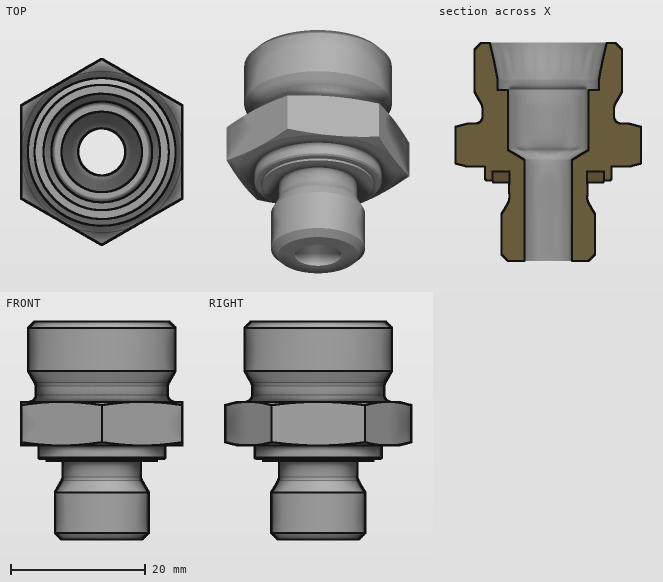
import cadquery as cq
import math

TOTAL_HEIGHT = 32.5
SELECTION_MARGIN = 0.003
END_CHAMFER = 1.0
UNDERCUT_RADIUS = 1.0
UNDERCUT_ANGLE = 30.0

STUD_DIAMETER = 14.0
STUD_LENGTH = 7.02
NECK_DIAMETER = 11.7

COLLAR_DIAMETER = 18.9
COLLAR_BOTTOM = 12.0
COLLAR_CHAMFER = 0.23
SEAL_DIAMETER = 16.5
SEAL_PROTRUSION = 0.32
SEAL_RECESS_DEPTH = 1.3

HEX_FLATS = 24.02
HEX_HALF_SECTOR = 30.0
HEX_BOTTOM = 14.0
HEX_TOP = 20.5
HEX_CHAMFER_ANGLE = 15.0

HEAD_DIAMETER = 22.0
HEAD_BOTTOM = 25.12
HEAD_NECK_DIAMETER = 19.7

MOUTH_DIAMETER = 17.35
SOCKET_DIAMETER = 15.0
SOCKET_HALF_ANGLE = 12.0
SOCKET_DEPTH = 7.0
TUBE_BORE_DIAMETER = 12.0
TUBE_BORE_BOTTOM = 16.58
THROUGH_DIAMETER = 7.0
DRILL_HALF_ANGLE = 59.0


def tangent(degrees):
    return math.tan(math.radians(degrees))


def cylinder(diameter, bottom, top):
    return cq.Workplane("XY").workplane(offset=bottom).circle(diameter / 2).extrude(top - bottom)


def revolve_profile(points):
    """Revolve a closed outline of (radius, height) points about Z."""
    return cq.Workplane("XZ").polyline(points).close().revolve(360, (0, 0, 0), (0, 1, 0))


def round_edge_at(body, diameter, height, radius):
    """Round the circular edge of the given diameter and height."""
    reach = SELECTION_MARGIN
    half = diameter / 2 + reach
    box = cq.selectors.BoxSelector((-half, -half, height - reach), (half, half, height + reach))
    return body.edges(box).fillet(radius)


def make_stud():
    radius = STUD_DIAMETER / 2
    neck_radius = NECK_DIAMETER / 2
    flank_top = STUD_LENGTH + (radius - neck_radius) / tangent(UNDERCUT_ANGLE)
    stud = revolve_profile([
        (0, 0),
        (radius - END_CHAMFER, 0),
        (radius, END_CHAMFER),
        (radius, STUD_LENGTH),
        (neck_radius, flank_top),
        (neck_radius, HEX_BOTTOM),
        (0, HEX_BOTTOM),
    ])
    return round_edge_at(stud, NECK_DIAMETER, flank_top, UNDERCUT_RADIUS)


def make_collar():
    return cylinder(COLLAR_DIAMETER, COLLAR_BOTTOM, HEX_BOTTOM).faces("<Z").edges().chamfer(COLLAR_CHAMFER)


def make_hexagon():
    corner_diameter = HEX_FLATS / math.cos(math.radians(HEX_HALF_SECTOR))
    prism = (
        cq.Workplane("XY").workplane(offset=HEX_BOTTOM)
        .polygon(6, corner_diameter).extrude(HEX_TOP - HEX_BOTTOM)
        .rotate((0, 0, 0), (0, 0, 1), HEX_HALF_SECTOR)
    )
    corner_drop = (corner_diameter - HEX_FLATS) / 2 * tangent(HEX_CHAMFER_ANGLE)
    envelope = revolve_profile([
        (0, HEX_BOTTOM),
        (HEX_FLATS / 2, HEX_BOTTOM),
        (corner_diameter / 2, HEX_BOTTOM + corner_drop),
        (corner_diameter / 2, HEX_TOP - corner_drop),
        (HEX_FLATS / 2, HEX_TOP),
        (0, HEX_TOP),
    ])
    return prism.intersect(envelope)


def make_head():
    radius = HEAD_DIAMETER / 2
    neck_radius = HEAD_NECK_DIAMETER / 2
    flank_bottom = HEAD_BOTTOM - (radius - neck_radius) / tangent(UNDERCUT_ANGLE)
    head = revolve_profile([
        (0, HEX_TOP),
        (neck_radius, HEX_TOP),
        (neck_radius, flank_bottom),
        (radius, HEAD_BOTTOM),
        (radius, TOTAL_HEIGHT - END_CHAMFER),
        (radius - END_CHAMFER, TOTAL_HEIGHT),
        (0, TOTAL_HEIGHT),
    ])
    return round_edge_at(head, HEAD_NECK_DIAMETER, flank_bottom, UNDERCUT_RADIUS)


def make_bore():
    """Tapered tube socket, stop shoulder, tube bore with drill point and through hole."""
    socket_radius = SOCKET_DIAMETER / 2
    tube_radius = TUBE_BORE_DIAMETER / 2
    through_radius = THROUGH_DIAMETER / 2
    taper_bottom = TOTAL_HEIGHT - (MOUTH_DIAMETER / 2 - socket_radius) / tangent(SOCKET_HALF_ANGLE)
    shoulder = TOTAL_HEIGHT - SOCKET_DEPTH
    drill_point = TUBE_BORE_BOTTOM - (tube_radius - through_radius) / tangent(DRILL_HALF_ANGLE)
    return revolve_profile([
        (0, 0),
        (through_radius, 0),
        (through_radius, drill_point),
        (tube_radius, TUBE_BORE_BOTTOM),
        (tube_radius, shoulder),
        (socket_radius, shoulder),
        (socket_radius, taper_bottom),
        (MOUTH_DIAMETER / 2, TOTAL_HEIGHT),
        (0, TOTAL_HEIGHT),
    ])


def make_seal_ring():
    bottom = COLLAR_BOTTOM - SEAL_PROTRUSION
    top = COLLAR_BOTTOM + SEAL_RECESS_DEPTH
    return cylinder(SEAL_DIAMETER, bottom, top).cut(cylinder(NECK_DIAMETER, bottom, top))


def make_fitting(seal_ring):
    fitting = make_stud().union(make_collar()).union(make_hexagon()).union(make_head())
    fitting = round_edge_at(fitting, HEAD_NECK_DIAMETER, HEX_TOP, UNDERCUT_RADIUS)
    return fitting.cut(make_bore()).cut(seal_ring)


seal_ring = make_seal_ring()
fitting = make_fitting(seal_ring)

result = cq.Compound.makeCompound([fitting.solids().val(), seal_ring.solids().val()])